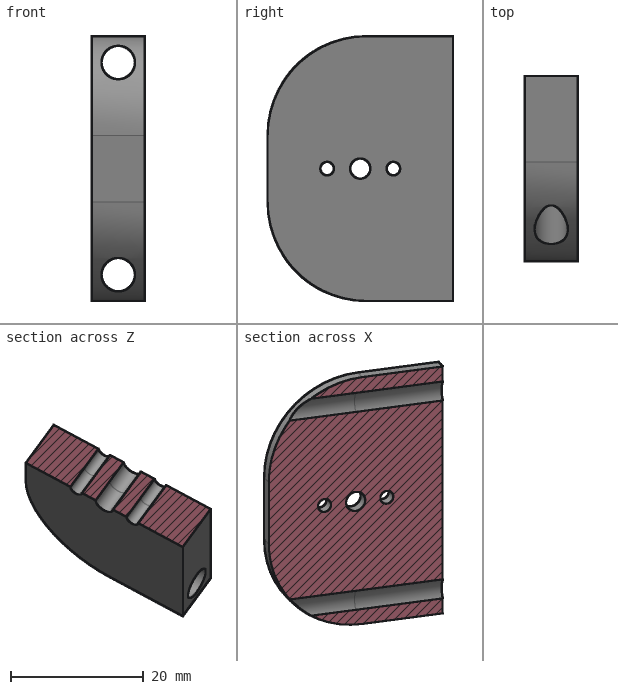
import cadquery as cq

thickness = 8.0
depth = 28.0
height = 40.0
corner_radius = 15.0

bore_diameter = 5.0
bore_edge_distance = 4.0
bore_height = height / 2 - bore_edge_distance

center_hole_diameter = 3.0
side_hole_diameter = 2.0
side_hole_offset = 5.0


def rounded_block():
    """Plate with its two front corners rounded."""
    block = cq.Workplane("XY").box(thickness, depth, height)
    return block.edges("|X and <Y").fillet(corner_radius)


def front_bore(z):
    """Cutter along Y at the given height."""
    bore = cq.Workplane("XZ").center(0, z).circle(bore_diameter / 2)
    return bore.extrude(depth / 2, both=True)


def cross_hole(y, diameter):
    """Cutter along X at the given Y position."""
    hole = cq.Workplane("YZ").center(y, 0).circle(diameter / 2)
    return hole.extrude(thickness / 2, both=True)


result = rounded_block()
result = result.cut(cross_hole(0, center_hole_diameter))
for side in (-1, 1):
    result = result.cut(front_bore(side * bore_height))
    result = result.cut(cross_hole(side * side_hole_offset, side_hole_diameter))